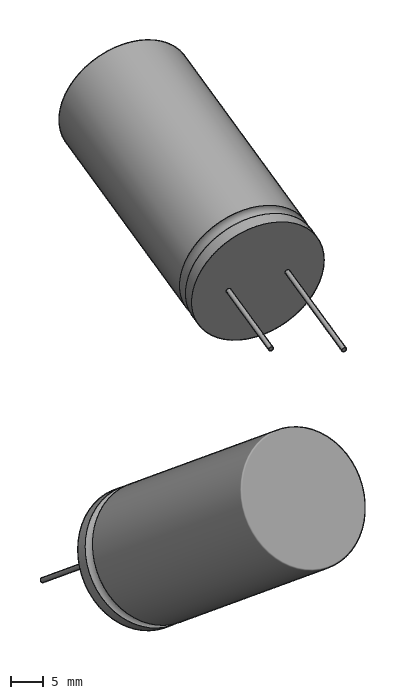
import cadquery as cq

overall_length = 67

can_diameter = 22.5
can_radius = can_diameter / 2
can_length = 47.0
end_fillet = 0.23

groove_diameter = 2.1
groove_radius = groove_diameter / 2
groove_center_x = 43.75

lead_diameter = 0.8
lead_pitch = 10.0
long_lead_length = overall_length - can_length
short_lead_length = 15.0


def make_can():
    """Revolve the half profile of the can about the X axis."""
    body = (
        cq.Workplane("XY")
        .lineTo(0, can_radius)
        .lineTo(groove_center_x - groove_radius, can_radius)
        .threePointArc(
            (groove_center_x, can_radius - groove_radius),
            (groove_center_x + groove_radius, can_radius),
        )
        .lineTo(can_length, can_radius)
        .lineTo(can_length, 0)
        .close()
        .revolve(360, (0, 0, 0), (1, 0, 0))
    )
    return body.faces("<X").edges().fillet(end_fillet)


def make_lead(y_position, length):
    """Round wire that starts on the flat end of the can and runs along +X."""
    return (
        cq.Workplane("YZ", origin=(can_length, y_position, 0))
        .circle(lead_diameter / 2)
        .extrude(length)
    )


can = make_can()
lead_layout = [
    (lead_pitch / 2, long_lead_length),
    (-lead_pitch / 2, short_lead_length),
]
leads = [make_lead(y_position, length) for y_position, length in lead_layout]

result = cq.Compound.makeCompound([can.val(), *[lead.val() for lead in leads]])